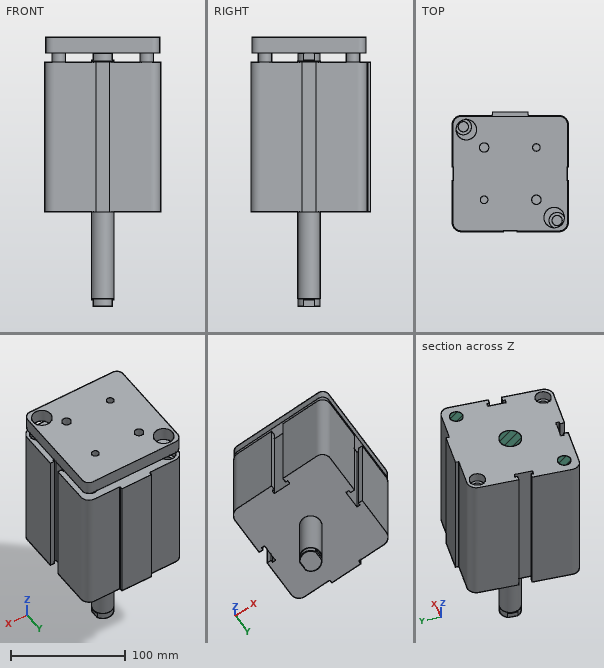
import cadquery as cq

total_height = 236.0

plate_side = 100.0
plate_thickness = 14.0
plate_corner_radius = 6.5
plate_gap = 8.0

access_hole_diameter = 18.0
dowel_hole_diameter = 8.3
screw_hole_diameter = 6.5
plate_hole_offset = 23.0

guide_diameter = 12.0
guide_offset = 38.5

housing_side = 102.0
housing_height = 131.0
housing_corner_radius = 8.5
top_hole_depth = 16.5

slot_mouth_width = 12.0
slot_inner_width = 16.5
slot_lip_depth = 4.2
slot_depth = 7.3

rail_width = 31.2
rail_height = 3.0
rail_foot_width = 32.5
rail_foot_height = 0.5

mount_offset = 41.0
mount_hole_diameter = 9.0
counterbore_diameter = 14.2
counterbore_depth = 9.0

rod_diameter = 20.0
rod_tip_diameter = 19.5
rod_tip_length = 6.8
rod_shoulder_length = 0.5
rod_end_chamfer = 0.5
flat_spacing = 17.0
flat_length = 6.0

plate_bottom = total_height - plate_thickness
housing_top = plate_bottom - plate_gap
housing_bottom = housing_top - housing_height
rod_length = plate_bottom
housing_face = housing_side / 2


def diagonal_points(offset, sign):
    """Two opposite corners of a square: sign 1 for (+,+) and (-,-), sign -1 for (-,+) and (+,-)."""
    return [(offset, sign * offset), (-offset, -sign * offset)]


guide_points = diagonal_points(guide_offset, 1)
access_points = diagonal_points(guide_offset, -1)
mount_points = diagonal_points(mount_offset, -1)


def cylinders(points, diameter, bottom, height):
    """Upright cylinders at the given points."""
    return cq.Workplane("XY", origin=(0, 0, bottom)).pushPoints(points).circle(diameter / 2).extrude(height)


def rounded_block(side, radius, bottom, height):
    """Square block with rounded upright edges."""
    base = cq.Workplane("XY", origin=(0, 0, bottom)).rect(side, side)
    return base.extrude(height).edges("|Z").fillet(radius)


def make_plate():
    plate = rounded_block(plate_side, plate_corner_radius, plate_bottom, plate_thickness)
    hole_sets = [
        (access_points, access_hole_diameter),
        (diagonal_points(plate_hole_offset, -1), dowel_hole_diameter),
        (diagonal_points(plate_hole_offset, 1), screw_hole_diameter),
    ]
    for points, diameter in hole_sets:
        plate = plate.cut(cylinders(points, diameter, plate_bottom, plate_thickness))
    return plate


def make_rod():
    """Rod with a reduced, chamfered tip and two wrench flats at each end."""
    body_radius = rod_diameter / 2
    tip_radius = rod_tip_diameter / 2
    end_radius = tip_radius - rod_end_chamfer
    shoulder = rod_tip_length + rod_shoulder_length
    rod = (
        cq.Workplane("XZ")
        .moveTo(0, 0)
        .lineTo(end_radius, 0)
        .lineTo(tip_radius, rod_end_chamfer)
        .lineTo(tip_radius, rod_tip_length)
        .lineTo(body_radius, shoulder)
        .lineTo(body_radius, rod_length - shoulder)
        .lineTo(tip_radius, rod_length - rod_tip_length)
        .lineTo(tip_radius, rod_length - rod_end_chamfer)
        .lineTo(end_radius, rod_length)
        .lineTo(0, rod_length)
        .close()
        .revolve(360, (0, 0, 0), (0, 1, 0))
    )
    for flat_bottom in (0, rod_length - flat_length):
        for side in (-1, 1):
            cutter = (
                cq.Workplane("XY", origin=(side * (flat_spacing + rod_diameter) / 2, 0, flat_bottom))
                .rect(rod_diameter, rod_diameter)
                .extrude(flat_length)
            )
            rod = rod.cut(cutter)
    return rod


def make_moving_assembly():
    guides = cylinders(guide_points, guide_diameter, housing_top - top_hole_depth, top_hole_depth + plate_gap)
    return make_plate().union(guides).union(make_rod())


def make_slot_cutter():
    """T-slot cutter for the -Y side."""
    mouth = slot_mouth_width / 2
    inner = slot_inner_width / 2
    outer_y = -housing_face
    lip_y = outer_y + slot_lip_depth
    floor_y = outer_y + slot_depth
    outline = [
        (-mouth, outer_y),
        (mouth, outer_y),
        (mouth, lip_y),
        (inner, lip_y),
        (inner, floor_y),
        (-inner, floor_y),
        (-inner, lip_y),
        (-mouth, lip_y),
    ]
    return cq.Workplane("XY", origin=(0, 0, housing_bottom)).polyline(outline).close().extrude(housing_height)


def make_rail():
    """Low rail on the +Y side, slightly flared at its foot."""
    half = rail_width / 2
    foot = rail_foot_width / 2
    outline = [
        (-foot, housing_face),
        (foot, housing_face),
        (half, housing_face + rail_foot_height),
        (half, housing_face + rail_height),
        (-half, housing_face + rail_height),
        (-half, housing_face + rail_foot_height),
    ]
    return cq.Workplane("XY", origin=(0, 0, housing_bottom)).polyline(outline).close().extrude(housing_height)


def make_housing():
    housing = rounded_block(housing_side, housing_corner_radius, housing_bottom, housing_height)
    housing = housing.union(make_rail())

    for angle in (-90, 0, 90):
        housing = housing.cut(make_slot_cutter().rotate((0, 0, 0), (0, 0, 1), angle))

    hole_bottom = housing_top - top_hole_depth
    housing = housing.cut(cylinders(mount_points, mount_hole_diameter, hole_bottom, top_hole_depth))
    housing = housing.cut(
        cylinders(mount_points, counterbore_diameter, housing_top - counterbore_depth, counterbore_depth)
    )

    housing = housing.cut(cylinders(guide_points, guide_diameter, hole_bottom, top_hole_depth))
    return housing.cut(cylinders([(0, 0)], rod_diameter, housing_bottom, housing_height))


moving_assembly = make_moving_assembly().solids()
housing = make_housing().solids()
result = cq.Compound.makeCompound([moving_assembly.val(), housing.val()])